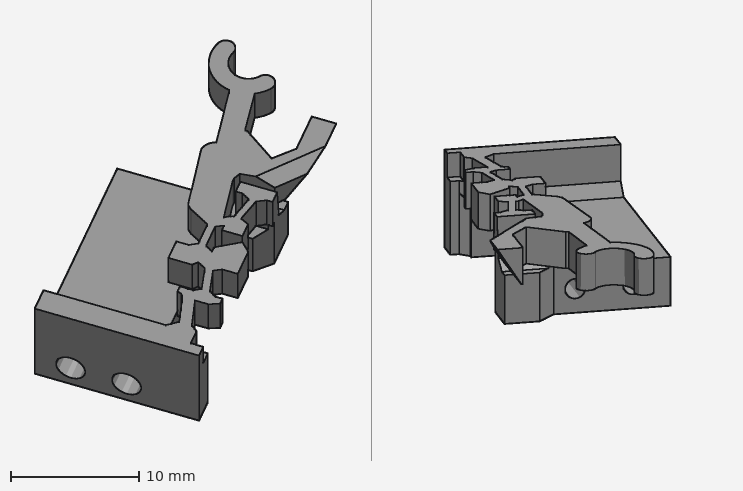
import cadquery as cq
import math

height = 8.0
floor_top = 4.0
plate_thickness = 3.0
plate_bottom = height - plate_thickness
length = 30.55
frame_width = 13.65

wall_thickness = 2.0
wall_bevel = plate_bottom - floor_top
slab_length = 18.55
ledge_length = 20.0
ledge_step = ledge_length - slab_length
window_left = 9.38
window_back = 15.55
corner_start = 12.35
bevel_end = 12.22

root_back = 2.65
root_right = 12.95

notch_width = 1.05
notch_depth = 2.0
notch_overrun = 0.25

hole_xs = (3.0, 7.65)
hole_height = 2.0
hole_front_diameter = 2.4
hole_back_diameter = 1.62
hole_front_depth = 10.0
hole_seat_angle = 118

post_left = 10.6
post_front = 16.5
post_top_back = 17.55
post_back = 17.93
flare_top = 4.75
front_flare_top = 4.5
flare_back = 19.12

hook_angle_start = 160
hook_angle_end = -36
hook_mid_radius = 2.35
hook_width = 1.53
hook_x = 7.05
hook_y = length - hook_width / 2 - hook_mid_radius * math.sin(math.radians(hook_angle_start))

finger_left = 13.53
finger_right = 15.58
finger_tip = 25.63
finger_heel = (13.05, 18.67)
finger_elbow = (finger_right, 21.65)
finger_chamfer = 1.0


def prism(points, bottom, top):
    """Vertical prism over an XY outline."""
    return cq.Workplane("XY").workplane(offset=bottom).polyline(points).close().extrude(top - bottom)


def plate(points):
    """Piece of the linkage plate."""
    return prism(points, plate_bottom, height)


def make_frame():
    """L-shaped base: slab and front wall, with the stepped back edge."""
    side_profile = [
        (0, 0), (ledge_length, 0), (ledge_length, floor_top),
        (wall_thickness + wall_bevel, floor_top),
        (wall_thickness, plate_bottom), (wall_thickness, height), (0, height),
    ]
    frame = cq.Workplane("YZ").polyline(side_profile).close().extrude(frame_width)

    back_corner = [
        (0, slab_length), (window_left, slab_length),
        (window_left + ledge_step, ledge_length), (0, ledge_length),
    ]
    return frame.cut(prism(back_corner, 0, height))


def make_post():
    """Post with flared foot on its left, front and back."""
    side_profile = [
        (window_back, 0), (ledge_length, 0), (ledge_length, floor_top), (flare_back, floor_top),
        (post_back, flare_top), (post_top_back, height), (post_front, height),
        (post_front, front_flare_top), (window_back, floor_top),
    ]
    front_profile = [
        (window_left, 0), (frame_width, 0), (frame_width, height), (post_left, height),
        (post_left, flare_top), (window_left, floor_top),
    ]
    side = cq.Workplane("YZ").polyline(side_profile).close().extrude(frame_width)
    front = cq.Workplane("XZ").polyline(front_profile).close().extrude(-length)
    outer_corner = [
        (window_left, slab_length), (window_left + ledge_step, ledge_length), (window_left, ledge_length),
    ]
    return side.intersect(front).cut(prism(outer_corner, 0, height))


def make_window():
    """Opening through the slab, running out through the right side under the plate."""
    outline = [
        (window_left, wall_thickness + wall_bevel), (bevel_end, wall_thickness + wall_bevel),
        (bevel_end, root_back), (root_right, wall_thickness), (frame_width, wall_thickness),
        (frame_width, window_back + frame_width - corner_start), (corner_start, window_back),
        (window_left, window_back),
    ]
    return prism(outline, 0, plate_bottom)


def make_notch():
    """Rectangular notch in the right end of the front wall."""
    size = (notch_width, notch_width + notch_overrun, notch_depth)
    corner = (frame_width - notch_width, wall_thickness - notch_width, height - notch_depth)
    return cq.Workplane("XY").box(*size, centered=False).translate(corner)


def make_hole(x):
    """Hole through the slab: wide front part, conical seat and narrow back part."""
    front_radius = hole_front_diameter / 2
    back_radius = hole_back_diameter / 2
    seat_length = (front_radius - back_radius) / math.tan(math.radians(hole_seat_angle / 2))
    half_section = [
        (0, 0), (front_radius, 0), (front_radius, hole_front_depth),
        (back_radius, hole_front_depth + seat_length), (back_radius, ledge_length), (0, ledge_length),
    ]
    hole = cq.Workplane("XY").polyline(half_section).close().revolve(360, (0, 0, 0), (0, 1, 0))
    return hole.translate((x, 0, hole_height))


def make_lower_links():
    """Flexure root, crossbar and rocker between the front wall and the lever."""
    root = [(10.17, wall_thickness), (11.03, root_back), (12.07, root_back), (root_right, wall_thickness)]
    root_leaf = [(11.03, root_back), (10.4, 5.1), (11.43, 5.1), (12.07, root_back)]
    crossbar = [
        (10.4, 5.1), (10.17, 5.38), (9.85, 5.47), (9.85, 6.02), (10.97, 6.02), (11.52, 6.4),
        (12.2, 6.4), (12.8, 6.02), (13.38, 6.02), (13.38, 5.47), (12.53, 5.1),
    ]
    middle_leaf = [(11.52, 6.4), (11.03, 8.4), (11.7, 8.4), (12.2, 6.4)]
    rocker = [
        (11.03, 8.4), (10.33, 8.8), (10.0, 8.4), (8.0, 8.4), (8.0, 10.17), (9.05, 10.17),
        (9.68, 10.57), (10.33, 10.57), (10.97, 10.17), (10.97, 10.63), (12.85, 11.88), (13.63, 11.12),
        (13.63, 8.77), (12.35, 8.77), (11.7, 8.4),
    ]
    upper_leaf = [(9.68, 10.57), (9.68, 12.62), (10.33, 12.62), (10.33, 10.57)]
    links = prism(root, floor_top, height)
    for outline in (root_leaf, crossbar, middle_leaf, rocker, upper_leaf):
        links = links.union(plate(outline))
    return links


def make_post_link():
    """Leaf from the lever up to the front of the post."""
    leaf = [(11.33, 14.08), (11.82, 16.1), (12.43, 16.1), (11.95, 14.08)]
    root = [(11.82, 16.1), (11.15, post_front), (13.17, post_front), (12.43, 16.1)]
    return plate(leaf).union(plate(root))


def make_lever():
    """Lever body with its stem and finger."""
    lever = (
        cq.Workplane("XY").workplane(offset=plate_bottom)
        .moveTo(9.68, 12.62).lineTo(7.9, 13.63).lineTo(7.58, 13.95).lineTo(6.63, 19.35)
        .lineTo(6.6, 19.58).threePointArc((6.85, 20.15), (7.45, 20.62)).lineTo(6.6, 25.95)
        .lineTo(8.55, 26.33).lineTo(9.13, 22.55).lineTo(9.35, 22.52).lineTo(12.07, 20.6)
        .lineTo(finger_left, 22.18).lineTo(finger_left, finger_tip)
        .lineTo(finger_right, finger_tip).lineTo(*finger_elbow).lineTo(*finger_heel)
        .lineTo(10.3, 18.27).lineTo(10.02, 17.7).lineTo(10.02, 17.35).lineTo(10.63, 13.72)
        .lineTo(11.1, 14.02).lineTo(11.33, 14.08).lineTo(11.95, 14.08).lineTo(12.65, 13.72)
        .lineTo(12.65, 12.45).lineTo(10.95, 12.45).lineTo(10.95, 12.95).lineTo(10.33, 12.62)
        .close().extrude(plate_thickness)
    )
    chamfer_middle = (
        (finger_heel[0] + finger_elbow[0]) / 2, (finger_heel[1] + finger_elbow[1]) / 2, height,
    )
    lever = lever.edges(cq.selectors.NearestToPointSelector(chamfer_middle)).chamfer(finger_chamfer)

    undercut = (
        cq.Workplane("XZ")
        .polyline([(finger_right, height), (frame_width, plate_bottom), (finger_right, plate_bottom)])
        .close().extrude(-length)
    )
    return lever.cut(undercut)


def hook_point(radius, angle):
    """Point on a circle about the hook centre, with the angle in degrees."""
    turn = math.radians(angle)
    return (hook_x + radius * math.cos(turn), hook_y + radius * math.sin(turn))


def make_hook():
    """Round-ended open ring at the end of the stem."""
    inner = hook_mid_radius - hook_width / 2
    outer = hook_mid_radius + hook_width / 2
    start = hook_angle_start
    end = 360 + hook_angle_end
    middle = (start + end) / 2
    ring = (
        cq.Workplane("XY").workplane(offset=plate_bottom)
        .moveTo(*hook_point(outer, start))
        .threePointArc(hook_point(outer, middle), hook_point(outer, end))
        .lineTo(*hook_point(inner, end))
        .threePointArc(hook_point(inner, middle), hook_point(inner, start))
        .close().extrude(plate_thickness)
    )
    tips = (
        cq.Workplane("XY").workplane(offset=plate_bottom)
        .pushPoints([hook_point(hook_mid_radius, start), hook_point(hook_mid_radius, end)])
        .circle(hook_width / 2).extrude(plate_thickness)
    )
    return ring.union(tips)


frame = make_frame().union(make_post()).cut(make_window())
for hole_x in hole_xs:
    frame = frame.cut(make_hole(hole_x))

linkage = make_lower_links().union(make_lever()).union(make_hook()).union(make_post_link())
result = frame.union(linkage).cut(make_notch())